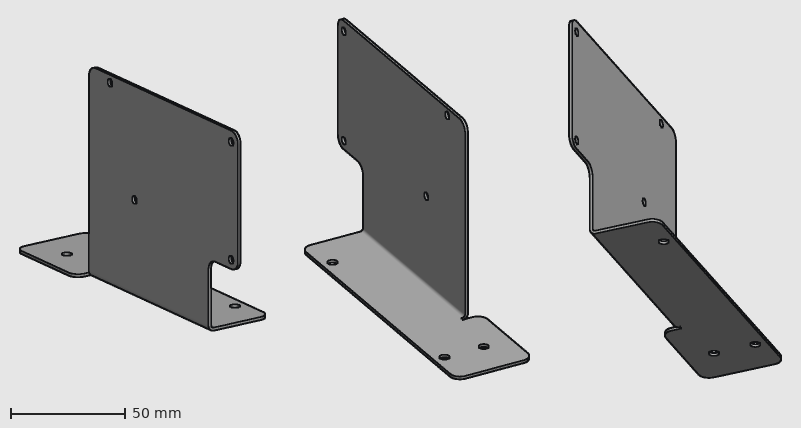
import cadquery as cq

length = 160.6
depth = 39.0
height = 98.0

sheet = 1.5
bend_inner_radius = 1.5
bend_outer_radius = bend_inner_radius + sheet
corner_radius = 5.0

base_length = 138.1
tab_length = 45.6
relief_width = 1.5
relief_end_y = 9.6
base_hole_diameter = 4.5
base_holes = [(19.6, 33.5), (119.5, 33.5), (19.6, 13.8)]

wall_front_y = 6.3
wall_left_x = tab_length + relief_width
bend_end_y = wall_front_y + bend_outer_radius
step_z = 33.9
wall_hole_diameter = 3.5
wall_holes = [(63.1, 94.3), (155.3, 92.7), (155.3, 38.2), (81.7, 45.3)]


def make_base():
    """Flat plate with a front tab and a relief slot beside the bend."""
    plate = (
        cq.Workplane("XY")
        .moveTo(0, 0)
        .lineTo(tab_length, 0)
        .lineTo(tab_length, relief_end_y)
        .lineTo(wall_left_x, relief_end_y)
        .lineTo(wall_left_x, bend_end_y)
        .lineTo(base_length, bend_end_y)
        .lineTo(base_length, depth)
        .lineTo(0, depth)
        .close()
        .extrude(sheet)
    )
    outer_corners = [(0, 0), (tab_length, 0), (base_length, depth), (0, depth)]
    for x, y in outer_corners:
        plate = plate.edges(cq.NearestToPointSelector((x, y, sheet / 2))).fillet(corner_radius)
    holes = cq.Workplane("XY").pushPoints(base_holes).circle(base_hole_diameter / 2).extrude(sheet)
    return plate.cut(holes)


def make_bend():
    """Quarter-ring bend joining the base to the wall."""
    diagonal = 0.5 ** 0.5
    center_y = bend_end_y
    center_z = bend_outer_radius
    return (
        cq.Workplane("YZ", origin=(wall_left_x, 0, 0))
        .moveTo(center_y, 0)
        .threePointArc(
            (center_y - bend_outer_radius * diagonal, center_z - bend_outer_radius * diagonal),
            (wall_front_y, center_z),
        )
        .lineTo(wall_front_y + sheet, center_z)
        .threePointArc(
            (center_y - bend_inner_radius * diagonal, center_z - bend_inner_radius * diagonal),
            (center_y, sheet),
        )
        .close()
        .extrude(base_length - wall_left_x)
    )


def make_wall():
    """Upright plate that steps out past the right end of the base."""
    wall_plane = cq.Workplane("XZ", origin=(0, wall_front_y, 0))
    plate = (
        wall_plane
        .moveTo(wall_left_x, bend_outer_radius)
        .lineTo(base_length, bend_outer_radius)
        .lineTo(base_length, step_z)
        .lineTo(length, step_z)
        .lineTo(length, height)
        .lineTo(wall_left_x, height)
        .close()
        .extrude(-sheet)
    )
    rounded_corners = [(base_length, step_z), (length, step_z), (length, height), (wall_left_x, height)]
    middle_y = wall_front_y + sheet / 2
    for x, z in rounded_corners:
        plate = plate.edges(cq.NearestToPointSelector((x, middle_y, z))).fillet(corner_radius)
    holes = wall_plane.pushPoints(wall_holes).circle(wall_hole_diameter / 2).extrude(-sheet)
    return plate.cut(holes)


result = make_base().union(make_bend()).union(make_wall())